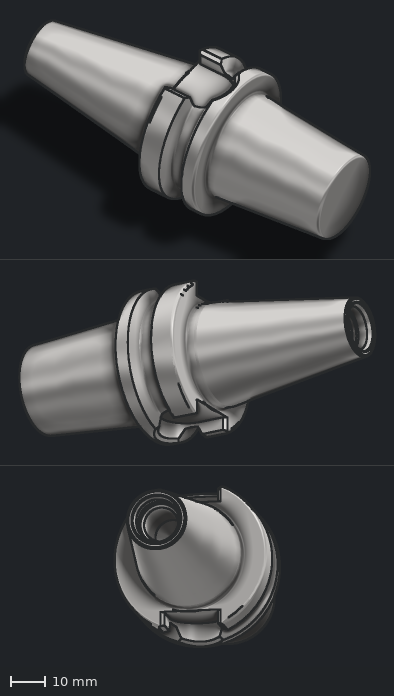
import cadquery as cq
import math

total_length = 108.4
taper_end = 46.7
flange_start = 50.4
flange_end = 70.4
front_land_end = 57.9
rear_land_start = 65.8

gauge_length = 48.3
gauge_radius = 15.88
taper_slope = 7 / 48
collar_start = 47.6
collar_radius = 15.6
shank_edge_chamfer = 0.4
corner_radius = 1.0

flange_radius = 23.0
groove_radius = 19.2
groove_fillet = 0.8
groove_run = (flange_radius - groove_radius) * math.tan(math.radians(30))

nose_root_radius = 16.6
nose_end_radius = 13.7

slot_half_width = 8.0
slot_floor = 16.3
slot_end = 67.5
slot_arc_centre = slot_end - slot_half_width
slot_mouth_chamfer = 1.0
rim_chamfer = 1.2
side_chamfer_width = 1.6
side_chamfer_base = 20.2
side_chamfer_rise = 0.7

mouth_radius = 7.5
centre_cone_radius = 7.2
centre_cone_start = 0.2
pilot_radius = 6.4
pilot_start = 1.6
pilot_end = 4.5
relief_radius = 6.1
relief_start = 5.1
relief_end = 6.4
hole_radius = 5.1
hole_start = 7.0
hole_depth = 23.8
drill_tip_length = hole_radius * math.tan(math.radians(30))


def make_body():
    """Revolve the outer shape about X."""
    small_radius = gauge_radius - taper_slope * gauge_length
    taper_end_radius = gauge_radius - taper_slope * (gauge_length - taper_end)
    bend = math.sqrt(0.5) * corner_radius
    profile = (
        cq.Workplane("XY")
        .moveTo(0, 0)
        .lineTo(0, small_radius - shank_edge_chamfer)
        .lineTo(shank_edge_chamfer, small_radius + taper_slope * shank_edge_chamfer)
        .lineTo(taper_end, taper_end_radius)
        .lineTo(collar_start, collar_radius)
        .lineTo(flange_start - corner_radius, collar_radius)
        .threePointArc(
            (flange_start - corner_radius + bend, collar_radius + corner_radius - bend),
            (flange_start, collar_radius + corner_radius),
        )
        .lineTo(flange_start, flange_radius - corner_radius)
        .threePointArc(
            (flange_start + corner_radius - bend, flange_radius - corner_radius + bend),
            (flange_start + corner_radius, flange_radius),
        )
        .lineTo(front_land_end, flange_radius)
        .lineTo(front_land_end + groove_run, groove_radius)
        .lineTo(rear_land_start - groove_run, groove_radius)
        .lineTo(rear_land_start, flange_radius)
        .lineTo(flange_end - corner_radius, flange_radius)
        .threePointArc(
            (flange_end - corner_radius + bend, flange_radius - corner_radius + bend),
            (flange_end, flange_radius - corner_radius),
        )
        .lineTo(flange_end, nose_root_radius + corner_radius)
        .threePointArc(
            (flange_end + corner_radius - bend, nose_root_radius + corner_radius - bend),
            (flange_end + corner_radius, nose_root_radius),
        )
        .lineTo(total_length - corner_radius, nose_end_radius)
        .threePointArc(
            (total_length - corner_radius + bend, nose_end_radius - corner_radius + bend),
            (total_length, nose_end_radius - corner_radius),
        )
        .lineTo(total_length, 0)
        .close()
    )
    body = profile.revolve(360, (0, 0, 0), (1, 0, 0))
    margin = 0.1
    groove_corners = cq.selectors.BoxSelector(
        (front_land_end + margin, -flange_radius, -flange_radius),
        (rear_land_start - margin, flange_radius, flange_radius),
        boundingbox=True,
    )
    return body.edges("%CIRCLE").edges(groove_corners).fillet(groove_fillet)


def make_slot_cutter():
    """Round-ended slot above the axis, with bevels at its mouth and along its sides."""
    mouth_half = slot_half_width + slot_mouth_chamfer
    slot = (
        cq.Workplane("XY", origin=(0, 0, slot_floor))
        .moveTo(flange_start, -mouth_half)
        .lineTo(flange_start + slot_mouth_chamfer, -slot_half_width)
        .lineTo(slot_arc_centre, -slot_half_width)
        .threePointArc((slot_end, 0), (slot_arc_centre, slot_half_width))
        .lineTo(flange_start + slot_mouth_chamfer, slot_half_width)
        .lineTo(flange_start, mouth_half)
        .close()
        .extrude(flange_radius - slot_floor)
    )
    bevel_half = slot_half_width + side_chamfer_width
    bevel_top = side_chamfer_base + side_chamfer_rise
    bevels = (
        cq.Workplane("YZ", origin=(flange_start, 0, 0))
        .moveTo(-slot_half_width, side_chamfer_base)
        .lineTo(slot_half_width, side_chamfer_base)
        .lineTo(bevel_half, bevel_top)
        .lineTo(bevel_half, flange_radius)
        .lineTo(-bevel_half, flange_radius)
        .lineTo(-bevel_half, bevel_top)
        .close()
        .extrude(slot_arc_centre - flange_start)
    )
    return slot.union(bevels)


def chamfer_slot_ends(body):
    """Bevel the rim of each slot's round end where it breaks the rear land."""
    land_middle = (rear_land_start + slot_end) / 2
    rims = cq.selectors.BoxSelector(
        (rear_land_start, -slot_half_width, -flange_radius),
        (land_middle + slot_half_width / 2, slot_half_width, flange_radius),
    )
    arcs = body.edges("not(%CIRCLE or %LINE)").edges(rims)
    return arcs.chamfer(rim_chamfer)


def make_bore():
    """Stepped hole with a centring cone at its mouth and a conical drill tip."""
    profile = (
        cq.Workplane("XY")
        .moveTo(0, 0)
        .lineTo(0, mouth_radius)
        .lineTo(centre_cone_start, centre_cone_radius)
        .lineTo(pilot_start, pilot_radius)
        .lineTo(pilot_end, pilot_radius)
        .lineTo(relief_start, relief_radius)
        .lineTo(relief_end, relief_radius)
        .lineTo(hole_start, hole_radius)
        .lineTo(hole_depth, hole_radius)
        .lineTo(hole_depth + drill_tip_length, 0)
        .close()
    )
    return profile.revolve(360, (0, 0, 0), (1, 0, 0))


slot_cutter = make_slot_cutter()
body = make_body()
for angle in (0, 180):
    body = body.cut(slot_cutter.rotate((0, 0, 0), (1, 0, 0), angle))
body = chamfer_slot_ends(body)
result = body.cut(make_bore())